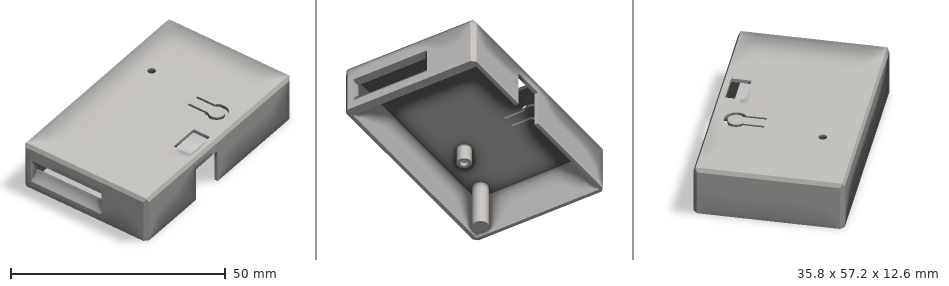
import cadquery as cq

width, length, height = 35.8, 57.2, 12.6
wall = 1.0
front_wall = 2.45
corner_chamfer = 1.0
top_bevel_drop = 1.0
top_bevel_inset = 0.6

window_left, window_right = 2.4, 22.8
window_bottom, window_top = 2.1, 8.35
sill_top = 4.3
sill_depth = 1.95

pin_x, pin_y = 8.5, 39.0
pin_diameter = 2.0
boss_diameter = 3.55
boss_bottom = 7.45

post_diameter = 4.0
post_inset = 4.1

button_x, button_y = 29.65, 35.85
button_radius = 2.0
slot_radius = 2.9
slot_neck = 1.85
arm_start = 22.65
arm_half_width = 1.3
arm_slot = 0.65

switch_left, switch_right = 29.05, 33.85
switch_front, switch_back = 19.8, 27.55
notch_margin = 0.35
notch_top = 9.15


def box(x0, x1, y0, y1, z0, z1):
    """Box between two opposite corners."""
    return cq.Workplane("XY").box(x1 - x0, y1 - y0, z1 - z0, centered=False).translate((x0, y0, z0))


def cylinder(x, y, diameter, z0, z1):
    """Upright cylinder between two heights."""
    return cq.Workplane("XY", origin=(x, y, z0)).circle(diameter / 2).extrude(z1 - z0)


def outer_body():
    """Block with chamfered corners and a steep bevel around the top."""
    prism = box(0, width, 0, length, 0, height).edges("|Z").chamfer(corner_chamfer)
    shoulder = height - top_bevel_drop
    lower = box(0, width, 0, length, 0, shoulder)
    cap = (
        cq.Workplane("XY", origin=(width / 2, length / 2, shoulder))
        .rect(width, length)
        .workplane(offset=top_bevel_drop)
        .rect(width - 2 * top_bevel_inset, length - 2 * top_bevel_inset)
        .loft(ruled=True)
    )
    return prism.intersect(lower.union(cap))


def front_window():
    """Opening through the front wall, sloping up from its outer bottom edge."""
    return (
        cq.Workplane("YZ", origin=(window_left, 0, 0))
        .moveTo(0, window_bottom)
        .lineTo(sill_depth, sill_top)
        .lineTo(front_wall, sill_top)
        .lineTo(front_wall, window_top)
        .lineTo(0, window_top)
        .close()
        .extrude(window_right - window_left)
    )


def button_slot():
    """Ring around the button head joined to a slot along each side of its arm."""
    floor = height - wall
    ring_start = button_x - slot_neck
    arm_outer = arm_half_width + arm_slot
    head = cylinder(button_x, button_y, 2 * slot_radius, floor, height).intersect(
        box(ring_start, width, 0, length, floor, height)
    )
    neck = box(arm_start, button_x, button_y - arm_outer, button_y + arm_outer, floor, height)
    arm = box(arm_start, button_x, button_y - arm_half_width, button_y + arm_half_width, floor, height)
    button = cylinder(button_x, button_y, 2 * button_radius, floor, height)
    return head.union(neck).cut(arm.union(button))


ceiling = height - wall
cavity = box(wall, width - wall, front_wall, length - wall, 0, ceiling)
post = cylinder(post_inset, length - post_inset, post_diameter, 0, ceiling)
boss = cylinder(pin_x, pin_y, boss_diameter, boss_bottom, ceiling)
pin_hole = cylinder(pin_x, pin_y, pin_diameter, boss_bottom, height)
switch_opening = box(switch_left, switch_right, switch_front, switch_back, ceiling, height)
switch_notch = box(
    width - wall, width, switch_front - notch_margin, switch_back + notch_margin, 0, notch_top
)

result = outer_body().cut(cavity).union(post).union(boss)
for opening in (front_window(), pin_hole, button_slot(), switch_opening, switch_notch):
    result = result.cut(opening)